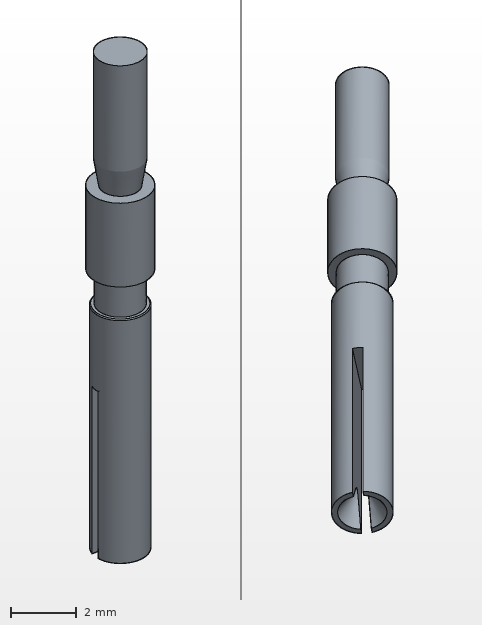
import cadquery as cq
import math

total_height = 17.8
body_top = 8.75
collar_bottom = 10.0
collar_top = 13.01
taper_top = 13.99

body_diameter = 1.87
body_edge_chamfer = 0.04
neck_diameter = 1.58
collar_diameter = 2.1
taper_small_diameter = 1.32
tail_diameter = 1.64

recess_diameter = 1.5
recess_half_angle = 30.0

slot_width = 0.32
slot_height = 6.0
slot_angle = 60.0


def cylinder(diameter, bottom, top):
    return cq.Workplane("XY").workplane(offset=bottom).circle(diameter / 2).extrude(top - bottom)


def make_pin():
    """Body, neck, collar, taper and tail stacked along the axis."""
    taper = (
        cq.Workplane("XY").workplane(offset=collar_top).circle(taper_small_diameter / 2)
        .workplane(offset=taper_top - collar_top).circle(tail_diameter / 2)
        .loft()
    )
    return (
        cylinder(body_diameter, 0, body_top).faces(">Z").chamfer(body_edge_chamfer)
        .union(cylinder(neck_diameter, body_top, collar_bottom))
        .union(cylinder(collar_diameter, collar_bottom, collar_top))
        .union(taper)
        .union(cylinder(tail_diameter, taper_top, total_height))
    )


def make_recess():
    """Cone opening at the slotted end, with its tip on the axis."""
    radius = recess_diameter / 2
    depth = radius / math.tan(math.radians(recess_half_angle))
    return cq.Workplane(cq.Solid.makeCone(radius, 0, depth))


def make_slot():
    """Straight slot open on both sides and at the bottom end."""
    return (
        cq.Workplane("XY")
        .box(body_diameter, slot_width, slot_height, centered=(True, True, False))
        .rotate((0, 0, 0), (0, 0, 1), slot_angle)
    )


result = make_pin().cut(make_recess()).cut(make_slot())